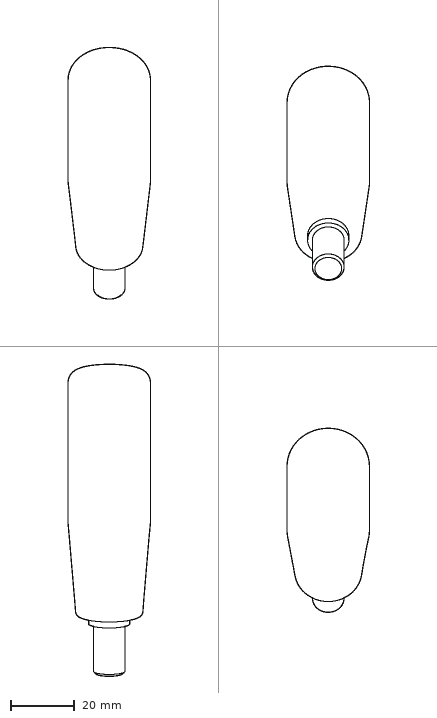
import cadquery as cq
import math

stud_radius = 5.0
stud_length = 16.0
stud_chamfer = 0.8

collar_radius = 6.5
collar_height = 2.5

grip_radius = 13.0
grip_length = 80.0
grip_foot_radius = 10.5
taper_height = 30.0
foot_fillet = 1.5
shoulder_round = 4.0
dome_radius = 40.0

grip_bottom_z = stud_length + collar_height
taper_top_z = grip_bottom_z + taper_height
top_z = grip_bottom_z + grip_length


def make_stud():
    """Pin with a chamfered free end, reaching up to the grip."""
    pin = cq.Workplane("XY").circle(stud_radius).extrude(grip_bottom_z)
    return pin.faces("<Z").chamfer(stud_chamfer)


def make_collar():
    """Short disc that spaces the grip from the mounting face."""
    plane = cq.Workplane("XY").workplane(offset=stud_length)
    return plane.circle(collar_radius).extrude(collar_height)


def make_grip():
    """Revolved grip: tapered foot, straight barrel, rounded shoulder and domed top."""
    round_center_r = grip_radius - shoulder_round
    dome_center_z = top_z - dome_radius
    center_distance = dome_radius - shoulder_round
    dome_edge_angle = math.asin(round_center_r / center_distance)
    round_center_z = dome_center_z + center_distance * math.cos(dome_edge_angle)

    def dome_point(angle):
        """Profile point on the dome at an angle from the Z axis."""
        return (dome_radius * math.sin(angle), dome_center_z + dome_radius * math.cos(angle))

    round_mid_angle = (dome_edge_angle + math.pi / 2) / 2
    round_mid = (
        round_center_r + shoulder_round * math.sin(round_mid_angle),
        round_center_z + shoulder_round * math.cos(round_mid_angle),
    )

    profile = (
        cq.Workplane("XZ")
        .moveTo(0, grip_bottom_z)
        .lineTo(grip_foot_radius, grip_bottom_z)
        .lineTo(grip_radius, taper_top_z)
        .lineTo(grip_radius, round_center_z)
        .threePointArc(round_mid, dome_point(dome_edge_angle))
        .threePointArc(dome_point(dome_edge_angle / 2), dome_point(0))
        .close()
    )
    grip = profile.revolve(360, (0, 0, 0), (0, 1, 0))
    return grip.faces("<Z").edges().fillet(foot_fillet)


result = make_grip().union(make_collar()).union(make_stud())